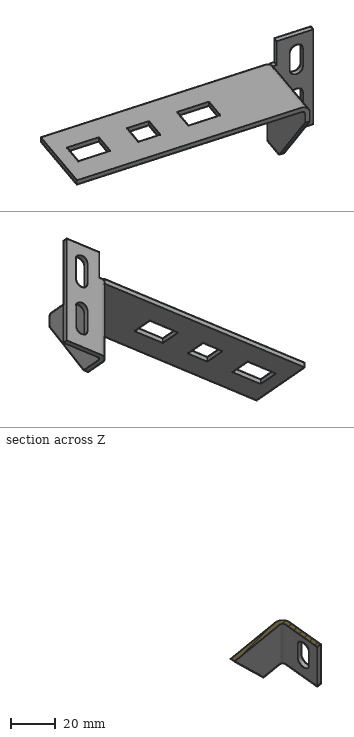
import cadquery as cq
import math

thickness = 2.5
inner_radius = 2.0
outer_radius = inner_radius + thickness

part_width = 40.0
part_height = 54.0
arm_top = 45.0
arm_reach = 115.0
flange_reach = 23.75

bend_top = arm_top - outer_radius
arm_left = 5.0
tab_relief = 0.75
tab_start = outer_radius + tab_relief

web_bottom_width = 15
slope_angle = 55.0
web_side_bottom = (part_width - web_bottom_width) * math.tan(math.radians(slope_angle))

slot_width = 6.6
slot_center_span = 10.0
slot_length = slot_center_span + slot_width
slot_edge_distance = 8.5
slot_heights = (15.0, 40.0)

window_width = 11.0
windows = ((15.0, 16.0), (42.75, 11.0), (70.5, 16.0))
window_center_x = (arm_left + part_width) / 2


def make_flange_and_web():
    """L-shaped strip: flange along Y, bend about a vertical axis, web along X."""
    strip = (
        cq.Workplane("XY")
        .moveTo(0, flange_reach)
        .lineTo(0, outer_radius)
        .radiusArc((outer_radius, 0), -outer_radius)
        .lineTo(part_width, 0)
        .lineTo(part_width, thickness)
        .lineTo(outer_radius, thickness)
        .radiusArc((thickness, outer_radius), inner_radius)
        .lineTo(thickness, flange_reach)
        .close()
        .extrude(bend_top)
    )
    slope_cut = (
        cq.Workplane("XZ")
        .moveTo(web_bottom_width, 0)
        .lineTo(part_width, 0)
        .lineTo(part_width, web_side_bottom)
        .close()
        .extrude(-thickness)
    )
    return strip.cut(slope_cut)


def make_tab():
    """Upper part of the flange, set back from the bend by a relief."""
    return cq.Workplane("XY").box(
        thickness, flange_reach - tab_start, part_height - bend_top, centered=False
    ).translate((0, tab_start, bend_top))


def make_arm():
    """Horizontal arm with the bend that joins it to the top of the web."""
    bend_front = thickness - outer_radius
    return (
        cq.Workplane("YZ", origin=(arm_left, 0, 0))
        .moveTo(thickness, bend_top)
        .radiusArc((bend_front, arm_top), -outer_radius)
        .lineTo(-arm_reach, arm_top)
        .lineTo(-arm_reach, arm_top - thickness)
        .lineTo(bend_front, arm_top - thickness)
        .radiusArc((0, bend_top), inner_radius)
        .close()
        .extrude(part_width - arm_left)
    )


def make_slots():
    """Vertical obround cutters through the flange."""
    slot_y = flange_reach - slot_edge_distance
    return (
        cq.Workplane("YZ")
        .pushPoints([(slot_y, height) for height in slot_heights])
        .slot2D(slot_length, slot_width, 90)
        .extrude(thickness)
    )


def make_window(end_distance, length):
    """Rectangular cutter through the arm."""
    return (
        cq.Workplane("XY", origin=(window_center_x, end_distance - arm_reach, arm_top))
        .rect(window_width, length)
        .extrude(-thickness)
    )


result = make_flange_and_web().union(make_tab()).union(make_arm()).cut(make_slots())
for end_distance, length in windows:
    result = result.cut(make_window(end_distance, length))